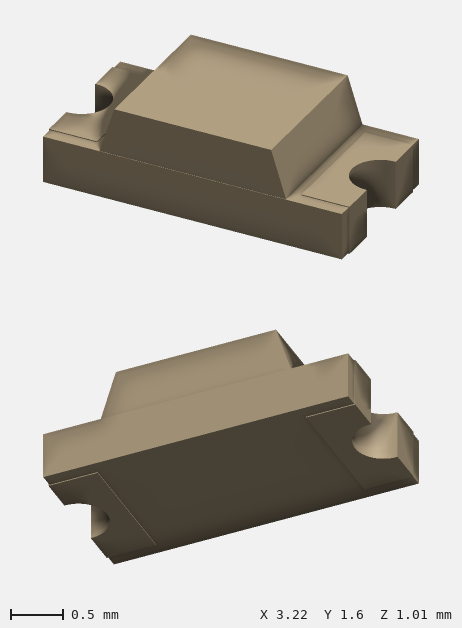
import cadquery as cq

length = 3.22
width = 1.6
height = 1.01

plating = 0.01
terminal_length = 0.515
terminal_width = 1.32
notch_radius = 0.3

board_length = length - 2 * plating
board_thickness = 0.5
lens_base_length = 2.0
lens_top_length = 1.68
lens_side_inset = 0.0048
lens_width = width - 2 * lens_side_inset

board_bottom = plating
board_top = board_bottom + board_thickness
terminal_height = board_thickness + 2 * plating


def make_board():
    board = cq.Workplane("XY").box(board_length, width, board_thickness, centered=(True, True, False))
    return board.translate((0, 0, board_bottom))


def make_lens():
    """Trapezoidal prism with sloping ends and upright sides."""
    outline = [
        (-lens_base_length / 2, board_top),
        (lens_base_length / 2, board_top),
        (lens_top_length / 2, height),
        (-lens_top_length / 2, height),
    ]
    return cq.Workplane("XZ").polyline(outline).close().extrude(lens_width / 2, both=True)


def make_terminal(side):
    terminal = cq.Workplane("XY").box(
        terminal_length, terminal_width, terminal_height, centered=(True, True, False)
    )
    return terminal.translate((side * (length - terminal_length) / 2, 0, 0))


def make_notch(side):
    """Cutter with a half-round floor centred on the board end and a short straight mouth."""
    board_end = side * board_length / 2
    outline = (
        cq.Workplane("XY")
        .moveTo(side * length / 2, -notch_radius)
        .lineTo(board_end, -notch_radius)
        .threePointArc((board_end - side * notch_radius, 0), (board_end, notch_radius))
        .lineTo(side * length / 2, notch_radius)
        .close()
    )
    return outline.extrude(terminal_height)


result = make_board().union(make_lens())
for side in (-1, 1):
    result = result.union(make_terminal(side)).cut(make_notch(side))